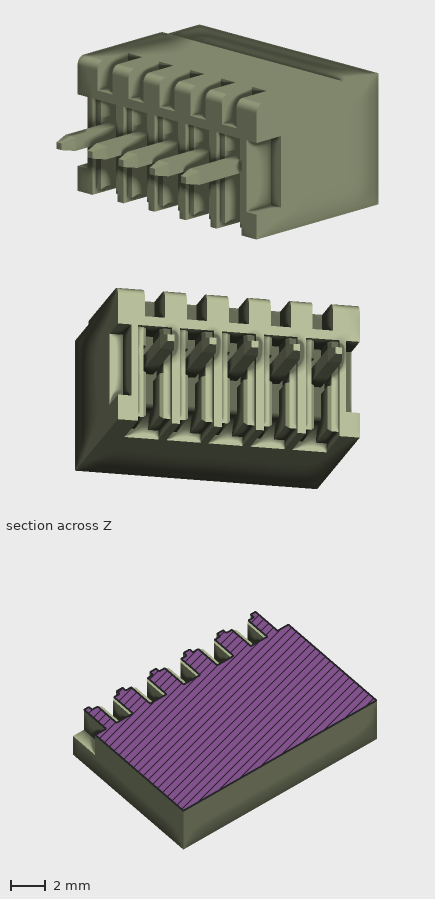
import cadquery as cq


width = 14.4
depth = 10.1
height = 8.1
rear_step_depth = 3.11
rear_step_drop = 0.2
front_edge_radius = 0.5

contact_count = 5
contact_span = 10.0
pitch = contact_span / (contact_count - 1)
contact_x = [i * pitch - contact_span / 2 for i in range(contact_count)]

notch_width = 1.2
notch_depth = 2.5
notch_height = 1.73

side_recess_width = 0.8
side_recess_depth = 2.02
side_recess_base = 1.5

slot_width = 2.02
slot_ceiling = 5.8
shoulder_depth = 0.29
shoulder_base = 0.35
shoulder_gap = 1.2
groove_width = 0.8
groove_depth = 2.02
lead_in = (shoulder_gap - groove_width) / 2
window_height = 1.58
window_z = 3.92

foot_top = 1.79
foot_nose_radius = 0.27
foot_hollow_radius = 0.9
slot_back = groove_depth + foot_nose_radius + foot_hollow_radius

tail_size = 0.8
tail_tip_size = 0.4
tail_length = 3.8
tail_taper_length = 0.94
tail_z = 3.93
tail_embedding = 0.29

mark_width = 0.52
mark_height = 0.49
mark_front_y = 7.73
mark_depth = 0.06


def box(x_size, y_range, z_range, x_center=0.0):
    """Box centred on x_center that spans the given Y and Z ranges."""
    y_min, y_max = y_range
    z_min, z_max = z_range
    block = cq.Workplane("XY").box(x_size, y_max - y_min, z_max - z_min, centered=(True, False, False))
    return block.translate((x_center, y_min, z_min))


def extrude_across(profile, x_size):
    """Extrude a closed YZ profile symmetrically along X."""
    return profile.close().extrude(x_size / 2, both=True)


def make_housing():
    step_y = depth - rear_step_depth
    rear_top = height - rear_step_drop
    profile = (
        cq.Workplane("YZ")
        .lineTo(depth, 0)
        .lineTo(depth, rear_top)
        .lineTo(step_y, rear_top)
        .lineTo(step_y, height)
        .lineTo(front_edge_radius, height)
        .radiusArc((0, height - front_edge_radius), -front_edge_radius)
    )
    return extrude_across(profile, width)


def make_slot():
    """Empty space of one contact slot, centred on X = 0."""
    entry = box(slot_width, (0, shoulder_depth), (0, slot_ceiling))

    chamfer_top = shoulder_base + lead_in
    below_profile = (
        cq.Workplane("YZ")
        .lineTo(slot_back, 0)
        .lineTo(slot_back, chamfer_top)
        .lineTo(shoulder_depth + lead_in, chamfer_top)
        .lineTo(shoulder_depth, shoulder_base)
        .lineTo(0, shoulder_base)
    )
    below = extrude_across(below_profile, slot_width)

    nose_y = groove_depth + foot_nose_radius
    nose_z = foot_top - foot_nose_radius
    groove_profile = (
        cq.Workplane("YZ")
        .lineTo(slot_back, 0)
        .lineTo(slot_back, nose_z - foot_hollow_radius)
        .radiusArc((nose_y, nose_z), -foot_hollow_radius)
        .radiusArc((groove_depth, foot_top), foot_nose_radius)
        .lineTo(groove_depth, slot_ceiling)
        .lineTo(0, slot_ceiling)
    )
    groove = extrude_across(groove_profile, groove_width)

    lead_in_space = (
        cq.Workplane("XY")
        .moveTo(-shoulder_gap / 2, shoulder_depth)
        .lineTo(shoulder_gap / 2, shoulder_depth)
        .lineTo(groove_width / 2, shoulder_depth + lead_in)
        .lineTo(-groove_width / 2, shoulder_depth + lead_in)
        .close()
        .extrude(slot_ceiling)
    )

    window = box(
        shoulder_gap, (0, groove_depth), (window_z - window_height / 2, window_z + window_height / 2)
    )
    return entry.union(below).union(groove).union(lead_in_space).union(window)


def make_tail():
    """Square tail with a tapered tip, centred on X = 0."""
    taper_start = tail_length - tail_taper_length
    shank = box(
        tail_size,
        (-taper_start, groove_depth + tail_embedding),
        (tail_z - tail_size / 2, tail_z + tail_size / 2),
    )
    tip = (
        cq.Workplane("XZ", origin=(0, -taper_start, tail_z))
        .rect(tail_size, tail_size)
        .workplane(offset=tail_taper_length)
        .rect(tail_tip_size, tail_tip_size)
        .loft(ruled=True)
    )
    return shank.union(tip)


def make_notch(x):
    return box(notch_width, (0, notch_depth), (height - notch_height, height), x)


def make_side_recess(side):
    x = side * (width - side_recess_width) / 2
    return box(side_recess_width, (0, side_recess_depth), (side_recess_base, slot_ceiling), x)


def make_mark():
    return (
        cq.Workplane("XY", origin=(contact_x[0], mark_front_y, height - rear_step_drop - mark_depth))
        .moveTo(-mark_width / 2, 0)
        .lineTo(mark_width / 2, 0)
        .lineTo(0, mark_height)
        .close()
        .extrude(mark_depth)
    )


result = make_housing().cut(make_mark())
for side in (-1, 1):
    result = result.cut(make_side_recess(side))

slot = make_slot()
tail = make_tail()
for x in contact_x:
    result = result.cut(make_notch(x))
    result = result.cut(slot.translate((x, 0, 0)))
    result = result.union(tail.translate((x, 0, 0)))